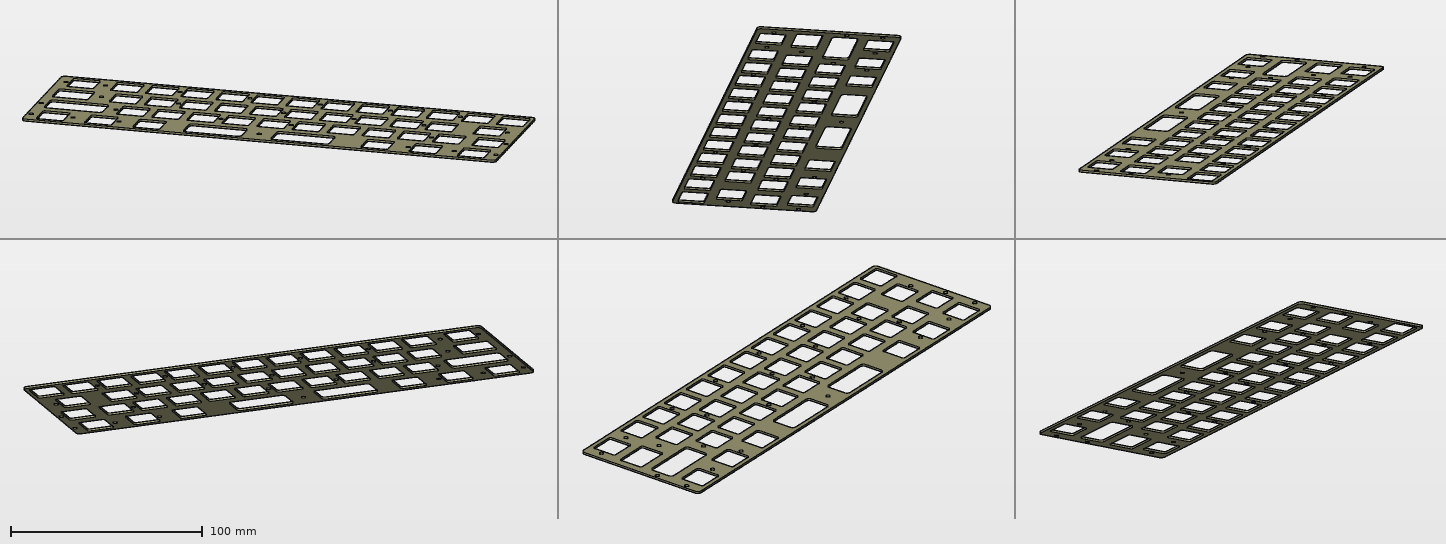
import cadquery as cq

plate_length = 257.2
columns = 13.5
rows = 4
pitch = plate_length / columns
plate_width = rows * pitch
thickness = 1.18
plate_corner_radius = 2.0

switch_length = 14.7
switch_width = 14.0
switch_corner_radius = 1.0
stepped_key_shift = pitch / 4
stepped_key_length = switch_length + stepped_key_shift
stabilizer_length = 31.6
stabilizer_corner_radius = 2.0
screw_diameter = 2.2

edge_screw = 0.125
switch_columns = [
    [0.75] + [2 + i for i in range(12)],
    [2.25 + i for i in range(10)] + [12.625],
    [2.75 + i for i in range(10)] + [12.875],
    [0.75, 2.125, 3.5, 10, 11.375, 12.75],
]
stepped_key_columns = [[], [0.75], [], []]
stabilized_key_columns = [[], [], [1.125], [5.375, 7.875]]
screw_columns = [
    [0.25, 1.375, 3.5, 5.5, 7.5, 9.5, 11.5],
    [1.55, 3.75, 6.75, 8.75, 10.75, 13.125],
    [edge_screw, 2.25, 5.25, 7.25, 11.25, columns - edge_screw],
    [edge_screw, 1.3125, 2.625, 6.625, 10.875, 12.1875, columns - edge_screw],
]


def grid_points(columns_by_row):
    """Plate coordinates of the positions listed for each row."""
    return [
        ((column - columns / 2) * pitch, ((rows - 1) / 2 - row) * pitch)
        for row, row_columns in enumerate(columns_by_row)
        for column in row_columns
    ]


def rounded_plate(length, width, corner_radius, centers):
    """Full-thickness blocks with rounded vertical edges, one at each center."""
    return (
        cq.Workplane("XY")
        .pushPoints(centers)
        .rect(length, width)
        .extrude(thickness)
        .edges("|Z")
        .fillet(corner_radius)
    )


plate = rounded_plate(plate_length, plate_width, plate_corner_radius, [(0, 0)])

switches = rounded_plate(
    switch_length, switch_width, switch_corner_radius, grid_points(switch_columns)
)
stepped_keys = rounded_plate(
    stepped_key_length, switch_width, switch_corner_radius, grid_points(stepped_key_columns)
)
stabilized_keys = rounded_plate(
    stabilizer_length, switch_width, stabilizer_corner_radius, grid_points(stabilized_key_columns)
)
screws = (
    cq.Workplane("XY")
    .pushPoints(grid_points(screw_columns))
    .circle(screw_diameter / 2)
    .extrude(thickness)
)

result = plate.cut(switches).cut(stepped_keys).cut(stabilized_keys).cut(screws)